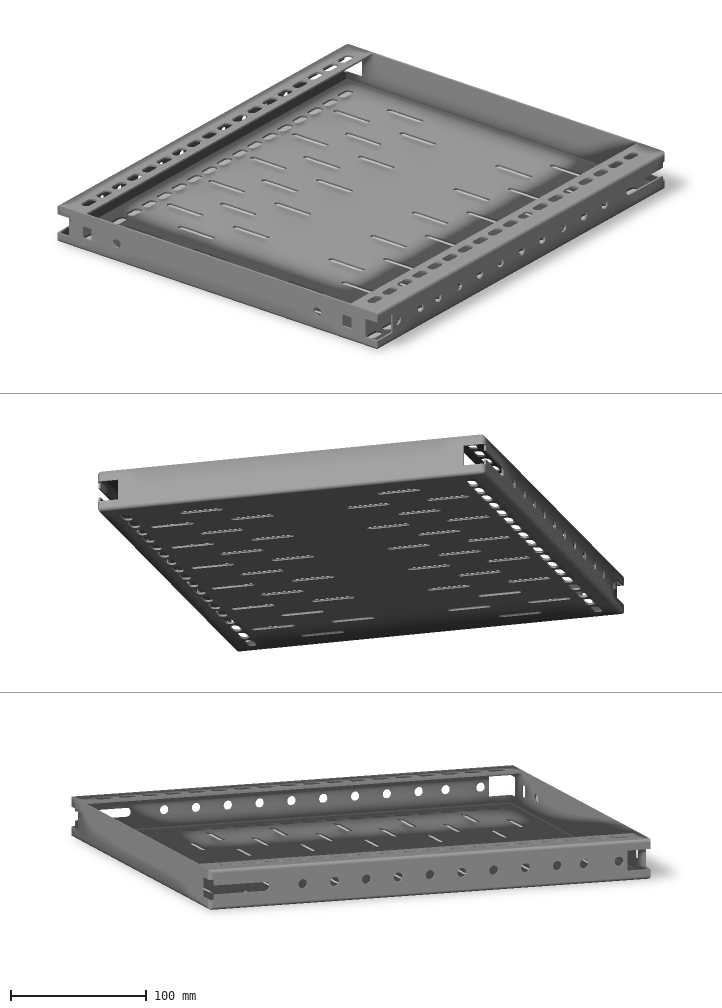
import cadquery as cq

width = 299.0
depth = 346.5
height = 30.0
sheet = 1.5
bend_radius = 2.5
front_corner_radius = 1.0
rear_corner_radius = 3.0
lip_width = 26.0

corner_window_height = 15.2
corner_window_front_x = 11.0
corner_window_front_y = 18.5
corner_window_rear_x = 16.3
corner_window_rear_y = 3.8

floor_slot_length = 33.0
floor_slot_width = 5.0
single_slot_rows = 7
first_to_last_single_row = 300.0
floor_row_pitch = first_to_last_single_row / (single_slot_rows - 1)
single_slot_x = 76.2
double_slot_rows = 6
double_slot_xs = (44.7, 106.5)

edge_slot_length = 14.0
edge_slot_width = 7.0
edge_slot_count = 18
edge_slot_row_length = 307.5
edge_slot_pitch = edge_slot_row_length / (edge_slot_count - 1)
edge_slot_x = 133.5
edge_slot_shift_y = -1.7

side_hole_diameter = 7.0
side_hole_pitch = 25.0
side_hole_count = 9
extra_side_hole_ys = (-121.0, -148.3)
side_slot_end_y = 125.8

front_hole_diameter = 7.0
front_hole_x = 93.5
front_window_x = 121.3
front_window_width = 8.3
front_window_height = 9.7

mid_z = height / 2
cut_reach = 2 * depth


def rounded_block(inset):
    """Tray envelope, shrunk inward by inset, with its bends rounded."""
    bend = bend_radius - inset
    size_x = width - 2 * inset
    size_y = depth - 2 * inset
    size_z = height - 2 * inset
    plan = cq.Workplane("XY").box(size_x, size_y, size_z)
    plan = plan.edges("|Z and >Y").fillet(rear_corner_radius - inset)
    if front_corner_radius > inset:
        plan = plan.edges("|Z and <Y").fillet(front_corner_radius - inset)
    side_bends = cq.Workplane("XY").box(size_x, size_y, size_z).edges("|Y").fillet(bend)
    end_bends = cq.Workplane("XY").box(size_x, size_y, size_z).edges("|X and <Z").fillet(bend)
    return plan.intersect(side_bends).intersect(end_bends).translate((0, 0, mid_z))


def folded_tray():
    """Floor, four walls and a lip turned inward along each side."""
    opening = cq.Workplane("XY").box(width - 2 * lip_width, depth - 2 * sheet, height)
    opening = opening.translate((0, 0, height))
    return rounded_block(0).cut(rounded_block(sheet)).cut(opening)


def row_positions(count, pitch):
    """Coordinates of count evenly spaced places, centred on zero."""
    return [(i - (count - 1) / 2) * pitch for i in range(count)]


def mirrored_points(xs, ys):
    """Every x, y pairing on both sides of the tray."""
    return [(side * x, y) for side in (-1, 1) for x in xs for y in ys]


def vertical_slots(points, length, slot_width, angle):
    """Upright cutters with slot-shaped outlines turned by angle from X."""
    slots = cq.Workplane("XY").pushPoints(points).slot2D(length, slot_width, angle)
    return slots.extrude(cut_reach, both=True)


def floor_slots():
    """Staggered rows of long slots, one and two per side by turns."""
    singles = mirrored_points([single_slot_x], row_positions(single_slot_rows, floor_row_pitch))
    doubles = mirrored_points(double_slot_xs, row_positions(double_slot_rows, floor_row_pitch))
    return vertical_slots(singles + doubles, floor_slot_length, floor_slot_width, 0)


def edge_slots():
    """One row of short slots along each side, through floor and lip."""
    ys = [y + edge_slot_shift_y for y in row_positions(edge_slot_count, edge_slot_pitch)]
    points = mirrored_points([edge_slot_x], ys)
    return vertical_slots(points, edge_slot_length, edge_slot_width, 90)


def side_wall_cuts():
    """Row of round holes and the slot opening into the rear corner window, on both sides."""
    ys = row_positions(side_hole_count, side_hole_pitch) + list(extra_side_hole_ys)
    plane = cq.Workplane("YZ")
    holes = plane.pushPoints([(y, mid_z) for y in ys]).circle(side_hole_diameter / 2)
    holes = holes.extrude(width, both=True)
    slot_length = 2 * (depth / 2 - corner_window_rear_y - side_slot_end_y)
    slot = plane.center(depth / 2 - corner_window_rear_y, mid_z)
    slot = slot.slot2D(slot_length, side_hole_diameter).extrude(width, both=True)
    tray_interior = cq.Workplane("XY").box(2 * width, depth - 2 * corner_window_rear_y, 2 * height)
    slot = slot.intersect(tray_interior)
    return holes.union(slot)


def front_wall_cuts():
    """Round hole and rectangular window near each end of the front wall."""
    plane = cq.Workplane("XZ", origin=(0, -depth / 2, mid_z))
    holes = plane.pushPoints([(-front_hole_x, 0), (front_hole_x, 0)])
    holes = holes.circle(front_hole_diameter / 2).extrude(2 * sheet, both=True)
    windows = plane.pushPoints([(-front_window_x, 0), (front_window_x, 0)])
    windows = windows.rect(front_window_width, front_window_height).extrude(2 * sheet, both=True)
    return holes.union(windows)


def corner_windows():
    """Openings that wrap around the front and rear corners at mid height."""
    front = mirrored_points([width / 2], [-depth / 2])
    rear = mirrored_points([width / 2], [depth / 2])
    plane = cq.Workplane("XY").workplane(offset=mid_z - corner_window_height / 2)
    front_cut = plane.pushPoints(front).rect(2 * corner_window_front_x, 2 * corner_window_front_y)
    front_cut = front_cut.extrude(corner_window_height)
    rear_cut = plane.pushPoints(rear).rect(2 * corner_window_rear_x, 2 * corner_window_rear_y)
    return front_cut.union(rear_cut.extrude(corner_window_height))


result = (
    folded_tray()
    .cut(floor_slots())
    .cut(edge_slots())
    .cut(side_wall_cuts())
    .cut(front_wall_cuts())
    .cut(corner_windows())
)